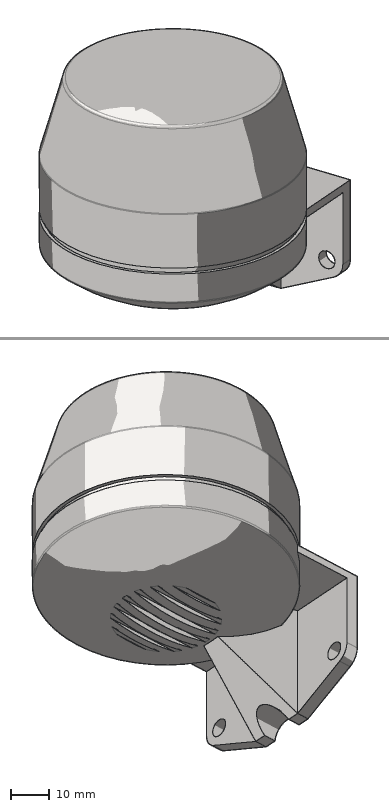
import cadquery as cq
import math

diameter = 69.9
radius = diameter / 2
edge_round = 1.0

cap_bottom_z = 37.3
shoulder_z = 53.1
rim_z = 75.5
rim_radius = 28.7
top_z = 79.25

neck_radius = 34.0
ring_top_z = 35.6
ring_bottom_z = 27.1
ring_round = 0.6
bowl_bottom_z = 14.35
slot_floor_z = 16.3
slot_count = 7
slot_width = 1.7
slot_pitch = 4.3

bracket_width = 55.2
back_y = 42.3
plate_thickness = 3.65
plate_front_y = back_y - plate_thickness
shelf_thickness = 2.3
plate_corner_z = 9.2
plate_corner_radius = 5.0
hole_diameter = 5.1
hole_x = bracket_width / 2 - plate_corner_radius
hole_z = 12.4

gusset_foot_width = 16.5
gusset_rise = 21.0
gusset_run = 28.9
gusset_side_angle = 13.4
gusset_end_y = 11.9

cable_notch_radius = 4.75
cable_notch_z = -0.55


def sphere_depth(sphere_radius, distance):
    """Drop of a sphere below its pole at a distance from the axis."""
    return sphere_radius - math.sqrt(sphere_radius**2 - distance**2)


def sphere_radius_of(chord_radius, height):
    """Radius of the sphere whose segment has this edge radius and height."""
    return (chord_radius**2 + height**2) / (2 * height)


def make_cap():
    dome_radius = sphere_radius_of(rim_radius, top_z - rim_z)
    half_way = rim_radius / 2
    profile = (
        cq.Workplane("YZ")
        .moveTo(0, cap_bottom_z)
        .lineTo(radius, cap_bottom_z)
        .lineTo(radius, shoulder_z)
        .lineTo(rim_radius, rim_z)
        .threePointArc((half_way, top_z - sphere_depth(dome_radius, half_way)), (0, top_z))
        .close()
    )
    body = profile.revolve(360, (0, 0, 0), (0, 1, 0))
    rounded_edges = cq.selectors.BoxSelector(
        (-diameter, -diameter, shoulder_z - edge_round),
        (diameter, diameter, rim_z + edge_round),
    )
    return body.edges(rounded_edges).edges("%CIRCLE").fillet(edge_round)


def make_bowl():
    bowl_radius = sphere_radius_of(radius, ring_bottom_z - bowl_bottom_z)
    half_way = radius / 2
    profile = (
        cq.Workplane("XZ")
        .moveTo(0, bowl_bottom_z)
        .threePointArc(
            (half_way, bowl_bottom_z + sphere_depth(bowl_radius, half_way)),
            (radius, ring_bottom_z),
        )
        .lineTo(radius, ring_top_z)
        .lineTo(neck_radius, ring_top_z)
        .lineTo(neck_radius, cap_bottom_z)
        .lineTo(0, cap_bottom_z)
        .close()
    )
    body = profile.revolve(360, (0, 0, 0), (0, 1, 0))
    ring_edge = cq.selectors.BoxSelector(
        (-diameter, -diameter, ring_bottom_z - ring_round),
        (diameter, diameter, ring_bottom_z + ring_round),
    )
    return body.edges(ring_edge).edges("%CIRCLE").fillet(ring_round)


def cut_bottom_slots(body):
    slot_depth = slot_floor_z - bowl_bottom_z
    for index in range(slot_count):
        slot_x = (index - (slot_count - 1) / 2) * slot_pitch
        slot = (
            cq.Workplane("XY", origin=(slot_x, 0, bowl_bottom_z))
            .rect(slot_width, diameter)
            .extrude(slot_depth)
        )
        body = body.cut(slot)
    return body


def make_back_plate():
    half_width = bracket_width / 2
    half_foot = gusset_foot_width / 2
    plate = (
        cq.Workplane("XZ", origin=(0, back_y, 0))
        .polyline([
            (-half_foot, 0),
            (half_foot, 0),
            (half_width, plate_corner_z),
            (half_width, ring_top_z),
            (-half_width, ring_top_z),
            (-half_width, plate_corner_z),
        ])
        .close()
        .extrude(plate_thickness)
    )
    lower_corners = cq.selectors.BoxSelector(
        (-bracket_width, plate_front_y, plate_corner_z - plate_thickness),
        (bracket_width, back_y, plate_corner_z + plate_thickness),
    )
    plate = plate.edges("|Y").edges(lower_corners).fillet(plate_corner_radius)
    holes = (
        cq.Workplane("XZ", origin=(0, back_y, 0))
        .pushPoints([(-hole_x, hole_z), (hole_x, hole_z)])
        .circle(hole_diameter / 2)
        .extrude(plate_thickness)
    )
    return plate.cut(holes)


def make_shelf():
    return (
        cq.Workplane("XY", origin=(0, back_y / 2, ring_top_z - shelf_thickness))
        .rect(bracket_width, back_y)
        .extrude(shelf_thickness)
    )


def make_gusset():
    length = plate_front_y - gusset_end_y
    half_foot = gusset_foot_width / 2
    half_end = half_foot - length * math.tan(math.radians(gusset_side_angle))
    end_z = length * gusset_rise / gusset_run
    plan = (
        cq.Workplane("XY")
        .polyline([
            (-half_foot, plate_front_y),
            (half_foot, plate_front_y),
            (half_end, gusset_end_y),
            (-half_end, gusset_end_y),
        ])
        .close()
        .extrude(ring_top_z)
    )
    side = (
        cq.Workplane("YZ", origin=(-half_foot, 0, 0))
        .polyline([
            (plate_front_y, 0),
            (plate_front_y, ring_top_z),
            (gusset_end_y, ring_top_z),
            (gusset_end_y, end_z),
        ])
        .close()
        .extrude(gusset_foot_width)
    )
    return plan.intersect(side)


def make_cable_notch():
    return (
        cq.Workplane("XZ", origin=(0, back_y, cable_notch_z))
        .circle(cable_notch_radius)
        .extrude(back_y)
    )


def make_base():
    bowl = cut_bottom_slots(make_bowl())
    bracket = make_back_plate().union(make_shelf()).union(make_gusset())
    return bowl.union(bracket.cut(make_cable_notch()))


cap = make_cap()
base = make_base()

result = cq.Compound.makeCompound([cap.solids().val(), base.solids().val()])